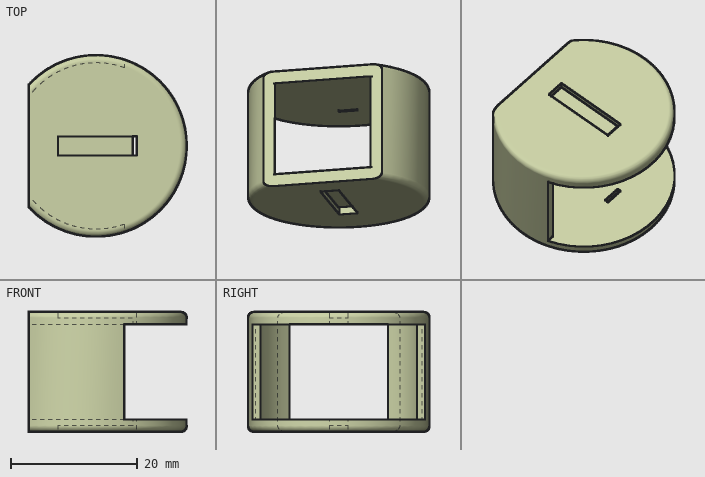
import cadquery as cq

outer_radius = 14.4
height = 19.03
flat_x = -10.65
edge_radius = 1.0

side_wall = 1.2
plate_thickness = 2.0
cavity_radius = outer_radius - side_wall
cavity_height = height - 2 * plate_thickness
wall_end_x = 4.5

recess_length = 12.5
recess_width = 3.0
recess_depth = 1.0
recess_center_x = 0.2
window_length = 0.6
window_center_x = recess_center_x + (recess_length - window_length) / 2


def box_from_x(start_x, length, box_height):
    """Block wider than the drum, running toward +X and centred on Y and Z."""
    return (
        cq.Workplane("XY")
        .box(length, 2 * outer_radius + side_wall, box_height, centered=(False, True, True))
        .translate((start_x, 0, 0))
    )


def make_drum():
    drum = cq.Workplane("XY").circle(outer_radius).extrude(height / 2, both=True)
    drum = drum.edges("%CIRCLE").fillet(edge_radius)
    return drum.intersect(box_from_x(flat_x, 2 * outer_radius, height))


def make_cavity():
    hollow = cq.Workplane("XY").circle(cavity_radius).extrude(cavity_height / 2, both=True)
    return hollow.union(box_from_x(wall_end_x, outer_radius, cavity_height))


def make_recess(side):
    """Recess in the upper (side = 1) or lower (side = -1) plate."""
    return (
        cq.Workplane("XY")
        .box(recess_length, recess_width, recess_depth)
        .translate((recess_center_x, 0, side * (height - recess_depth) / 2))
    )


def make_windows():
    """One straight cut that opens the window in both plates."""
    return (
        cq.Workplane("XY")
        .box(window_length, recess_width, height)
        .translate((window_center_x, 0, 0))
    )


result = make_drum().cut(make_cavity())
for side in (1, -1):
    result = result.cut(make_recess(side))
result = result.cut(make_windows())